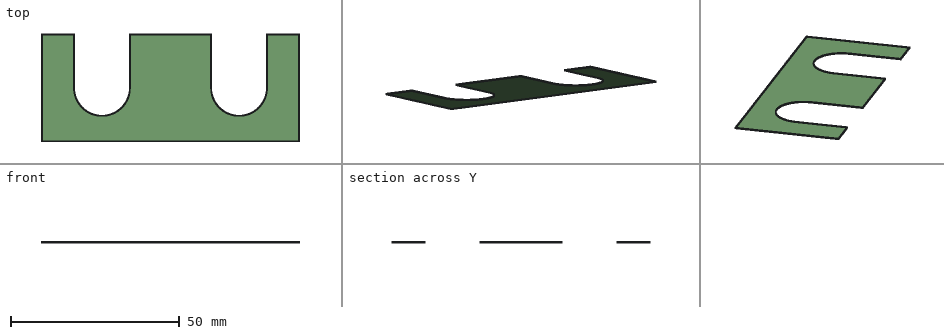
import cadquery as cq

length = 76.2
width = 31.75
thickness = 0.25

slot_width = 16.51
slot_spacing = 40.64
slot_end_y = 0.0


def make_plate():
    return cq.Workplane("XY").box(length, width, thickness)


def make_slot(center_x):
    """Cutter for one slot: a round end plus a straight run out through the +Y edge."""
    radius = slot_width / 2
    edge_y = width / 2
    return (
        cq.Workplane("XY")
        .workplane(offset=-thickness / 2)
        .moveTo(center_x - radius, edge_y)
        .lineTo(center_x - radius, slot_end_y)
        .threePointArc((center_x, slot_end_y - radius), (center_x + radius, slot_end_y))
        .lineTo(center_x + radius, edge_y)
        .close()
        .extrude(thickness)
    )


result = make_plate()
for side in (-1, 1):
    result = result.cut(make_slot(side * slot_spacing / 2))